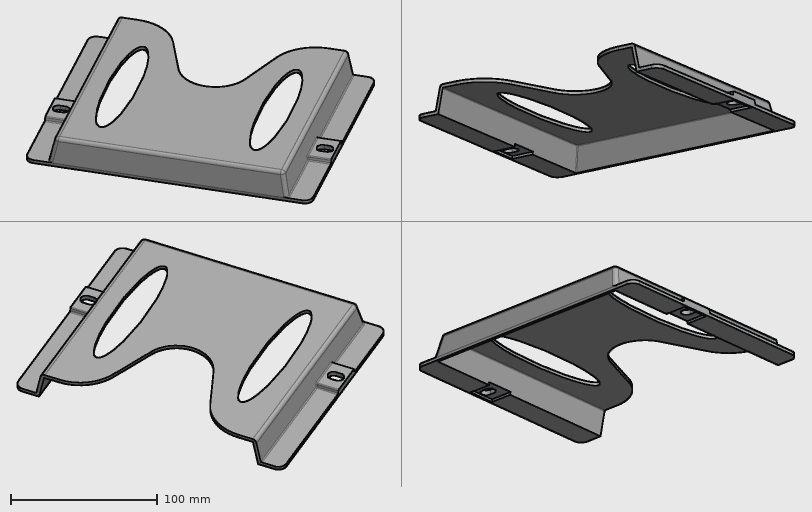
import cadquery as cq
import math

length = 203.2
depth = 165.0
panel_top = 21.0
sheet = 2.6
corner_radius = 6.0

tray_half_width = 85.1
wall_lean = 12.0
bend_radius = 3.0
inner_bend_radius = 0.6
base_fillet = 0.8

pad_y = 63.8
pad_length = 26.5
pad_top = 5.7
pad_slope = 0.8
pad_fillet = 0.8
pad_thickness = 3.7
pad_rim = 1.6
slot_x = 93.7
slot_length = 11.5
slot_width = 8.0

window_x = 54.7
window_y = 79.0
window_half_width = 11.0
window_half_length = 53.6

notch_bottom_y = 95.3
notch_radius = 25.5
shoulder_radius = 33.5
notch_side_lean = 21.8

overlap = 2.0


def tray_block(inset, bottom, top, edge_radius):
    """Solid tray with leaning walls, moved inwards by inset and run past the back edge."""
    slope = math.tan(math.radians(wall_lean))
    back = depth + 2 * bend_radius

    def section(z):
        shift = inset + (z - sheet) * slope
        half_width = tray_half_width - shift
        return [(-half_width, shift), (half_width, shift), (half_width, back), (-half_width, back)]

    block = (
        cq.Workplane("XY", origin=(0, 0, bottom))
        .polyline(section(bottom))
        .close()
        .workplane(offset=top - bottom)
        .polyline(section(top))
        .close()
        .loft(ruled=True)
    )
    bend_edges = block.faces("<Y or <X or >X").edges("not <Z").edges("not >Y")
    return bend_edges.fillet(edge_radius)


def plate():
    """Flat base plate with rounded corners."""
    return (
        cq.Workplane("XY")
        .rect(length, depth)
        .extrude(sheet)
        .edges("|Z")
        .fillet(corner_radius)
        .translate((0, depth / 2, 0))
    )


def pad_strip():
    """Strip across the full length whose raised middle, with rounded steps, forms both pads."""
    half_base = pad_length / 2
    half_top = half_base - pad_slope
    half_run = half_base + 2 * pad_fillet
    left_profile = [(-half_run, 0), (-half_run, sheet), (-half_base, sheet), (-half_top, pad_top)]
    right_profile = [(-y, z) for y, z in reversed(left_profile)]
    step_edges = cq.selectors.BoxSelector(
        (-length, pad_y - half_base - pad_fillet, sheet / 2),
        (length, pad_y + half_base + pad_fillet, pad_top + overlap),
    )
    return (
        cq.Workplane("YZ", origin=(-length / 2, pad_y, 0))
        .polyline(left_profile + right_profile)
        .close()
        .extrude(length)
        .edges("|X")
        .edges(step_edges)
        .fillet(pad_fillet)
    )


def pad_recesses():
    """Hollow under each pad, joined to the tray cavity and closed by an outer rim."""
    recess_length = length - 2 * pad_rim
    recess_width = pad_length - 2 * sheet
    recess_depth = pad_top - pad_thickness
    return (
        cq.Workplane("XY", origin=(0, pad_y, 0))
        .rect(recess_length, recess_width)
        .extrude(recess_depth)
    )


def notch():
    """Finger notch: a round bottom, leaning sides and round shoulders at the back edge."""
    lean = math.radians(notch_side_lean)
    center_y = notch_bottom_y + notch_radius
    shoulder_y = depth - shoulder_radius
    tangent_gap = notch_radius + shoulder_radius + (shoulder_y - center_y) * math.sin(lean)
    shoulder_x = tangent_gap / math.cos(lean)

    low_x = notch_radius * math.cos(lean)
    low_y = center_y - notch_radius * math.sin(lean)
    high_x = shoulder_x - shoulder_radius * math.cos(lean)
    high_y = shoulder_y + shoulder_radius * math.sin(lean)
    middle = (lean + math.pi / 2) / 2
    middle_x = shoulder_x - shoulder_radius * math.cos(middle)
    middle_y = shoulder_y + shoulder_radius * math.sin(middle)

    return (
        cq.Workplane("XY")
        .moveTo(-shoulder_x, depth)
        .threePointArc((-middle_x, middle_y), (-high_x, high_y))
        .lineTo(-low_x, low_y)
        .threePointArc((0, notch_bottom_y), (low_x, low_y))
        .lineTo(high_x, high_y)
        .threePointArc((middle_x, middle_y), (shoulder_x, depth))
        .lineTo(shoulder_x, depth + overlap)
        .lineTo(-shoulder_x, depth + overlap)
        .close()
        .extrude(panel_top + overlap)
    )


def windows():
    """Pair of long elliptical openings."""
    return (
        cq.Workplane("XY")
        .pushPoints([(-window_x, window_y), (window_x, window_y)])
        .ellipse(window_half_width, window_half_length)
        .extrude(panel_top + overlap)
    )


def slots():
    """Screw slots through the two pads."""
    return (
        cq.Workplane("XY")
        .pushPoints([(-slot_x, pad_y), (slot_x, pad_y)])
        .slot2D(slot_length, slot_width)
        .extrude(pad_top + overlap)
    )


def round_wall_foot(body):
    """Fillet the inside corners where the side walls meet the flanges and the pads."""
    for side in (-1, 1):
        inner_corner = (side * (tray_half_width - overlap), -overlap, sheet / 2)
        outer_corner = (side * (tray_half_width + overlap / 2), depth + overlap, pad_top + overlap / 2)
        foot = cq.selectors.BoxSelector(inner_corner, outer_corner)
        body = body.edges(foot).edges("not(|X)").fillet(base_fillet)
    return body


wall_inset = sheet / math.cos(math.radians(wall_lean))
behind_plate = cq.Workplane("XY", origin=(0, depth, 0)).box(
    length, length, panel_top + overlap, centered=(True, False, False)
)
tray = tray_block(0, sheet, panel_top, bend_radius).cut(behind_plate)
cavity = tray_block(wall_inset, -overlap, panel_top - sheet, inner_bend_radius)

body = round_wall_foot(plate().union(pad_strip()).union(tray))
result = body.cut(cavity).cut(pad_recesses()).cut(notch()).cut(windows()).cut(slots()).solids()